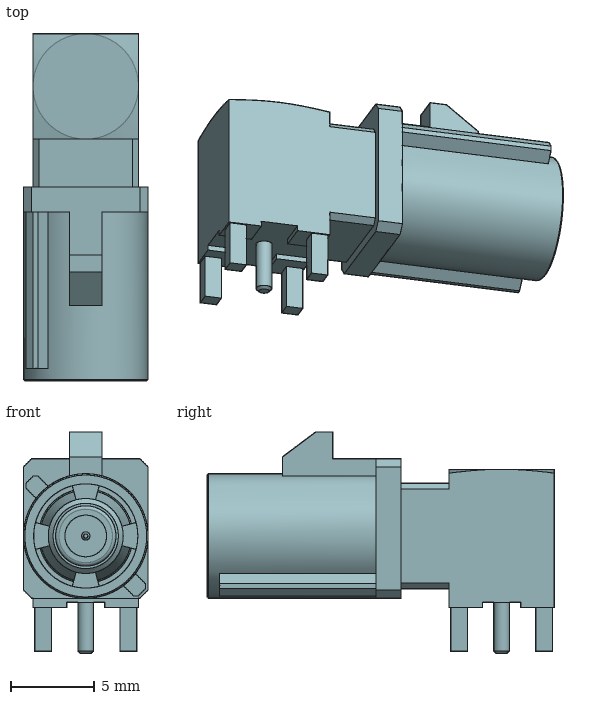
import cadquery as cq
import math


total_length = 20.88
block_size = 6.35
flange_front_y = 10.15
flange_back_y = 11.67
block_front_y = total_length - block_size
block_centre_y = total_length - block_size / 2

barrel_diameter = 7.5
barrel_radius = barrel_diameter / 2
barrel_chamfer = 0.08
bore_radius = 3.13
bore_depth = 7.52

flange_width = barrel_diameter
flange_top_z = 4.65
flange_chamfer = 0.5

neck_chamfer = 0.35

block_top_z = 4.0
block_bottom_z = -4.3
block_crown_angle = 10
notch_width = 2.28
notch_height = 0.31

leg_size = 1.02
leg_spacing = 5.12
leg_bottom_z = -6.93
pin_radius = 0.48
pin_bottom_z = -7.08
pin_chamfer = 0.17

latch_width = 1.96
latch_top_z = 6.26
latch_nose_z = 4.76
latch_back_y = 7.55
latch_crest_y = 6.54
latch_nose_y = 4.53

rib_width = 1.02
rib_reach = 4.78
rib_chamfer = 0.2
rib_front_y = 0.75
rib_angles = (45, 225)

post_front_y = 2.21
post_radius = 1.82
post_nose_fillet = 0.2
post_shoulder_radius = 1.96
post_root_radius = 2.25
socket_radius = 1.25
socket_depth = 4.18

recess_depth = 2.09
core_base_radius = 2.75
core_foot_chamfer = 0.08
tab_count = 4
tab_angle = 30

contact_radius = 0.25
contact_tip_radius = 0.13
contact_setback = 0.84


def box(x_range, y_range, z_range):
    """Axis-aligned box between the given limits."""
    size = [high - low for low, high in (x_range, y_range, z_range)]
    corner = (x_range[0], y_range[0], z_range[0])
    return cq.Workplane("XY").box(*size, centered=False).translate(corner)


def centred(width):
    """Limits of a span centred on zero."""
    return (-width / 2, width / 2)


def cylinder_along_y(radius, start_y, end_y):
    """Cylinder on the mating axis."""
    return cq.Workplane("XZ", origin=(0, start_y, 0)).circle(radius).extrude(start_y - end_y)


def revolve_about_y(outline):
    """Turn an outline of (radius, y) points around the mating axis."""
    return cq.Workplane("XY").polyline(outline).close().revolve(360, (0, 0, 0), (0, 1, 0))


def make_block():
    """Solder block with a shallow conical crown and a cross-shaped notch below."""
    half = block_size / 2
    corner_radius = half * math.sqrt(2)
    crown_drop = (corner_radius - half) * math.tan(math.radians(block_crown_angle))
    block = box(centred(block_size), (block_front_y, total_length), (block_bottom_z, block_top_z))
    crown_outline = [
        (0, block_bottom_z),
        (corner_radius, block_bottom_z),
        (corner_radius, block_top_z - crown_drop),
        (half, block_top_z),
        (0, block_top_z),
    ]
    crown = cq.Workplane("XZ").polyline(crown_outline).close().revolve(360, (0, 0, 0), (0, 1, 0))
    block = block.intersect(crown.translate((0, block_centre_y, 0)))
    notch_z = block_bottom_z + notch_height / 2
    for length, width in ((block_size, notch_width), (notch_width, block_size)):
        notch = cq.Workplane("XY").box(length, width, notch_height)
        block = block.cut(notch.translate((0, block_centre_y, notch_z)))
    return block


def make_legs():
    """Four square solder legs."""
    return (
        cq.Workplane("XY", origin=(0, block_centre_y, leg_bottom_z))
        .rarray(leg_spacing, leg_spacing, 2, 2)
        .rect(leg_size, leg_size)
        .extrude(block_bottom_z - leg_bottom_z)
    )


def make_signal_pin():
    """Round pin with a chamfered lower end."""
    return (
        cq.Workplane("XY", origin=(0, block_centre_y, pin_bottom_z))
        .circle(pin_radius)
        .extrude(block_bottom_z + notch_height - pin_bottom_z)
        .faces("<Z")
        .chamfer(pin_chamfer)
    )


def make_neck():
    """Square neck with chamfered long edges."""
    neck = box(centred(block_size), (flange_back_y, block_front_y), centred(block_size))
    return neck.edges("|Y").chamfer(neck_chamfer)


def make_flange():
    """Rectangular flange plate with chamfered corners."""
    flange = box(centred(flange_width), (flange_front_y, flange_back_y), (-barrel_radius, flange_top_z))
    return flange.edges("|Y").chamfer(flange_chamfer)


def make_barrel():
    """Round barrel, solid here, with a chamfered mating rim."""
    barrel = cylinder_along_y(barrel_radius, 0, flange_front_y)
    return barrel.faces("<Y").chamfer(barrel_chamfer)


def make_latch():
    """Strap along the barrel that ends in a ramped hook."""
    outline = [
        (flange_front_y, 0),
        (flange_front_y, flange_top_z),
        (latch_back_y, flange_top_z),
        (latch_back_y, latch_top_z),
        (latch_crest_y, latch_top_z),
        (latch_nose_y, latch_nose_z),
        (latch_nose_y, 0),
    ]
    return cq.Workplane("YZ").polyline(outline).close().extrude(latch_width / 2, both=True)


def make_rib(angle):
    """Keying rib that stands radially on the barrel, turned about Y from +Z towards -X."""
    rib = box(centred(rib_width), (rib_front_y, flange_front_y), (0, rib_reach))
    rib = rib.faces(">Z").edges("|Y").chamfer(rib_chamfer)
    return rib.rotate((0, 0, 0), (0, 1, 0), -angle)


def make_tabs():
    """Four wedge-shaped tabs that span the ring recess around the post."""
    tip_z = barrel_radius
    tip_x = tip_z * math.tan(math.radians(tab_angle / 2))
    wedge = (
        cq.Workplane("XZ", origin=(0, bore_depth, 0))
        .polyline([(0, 0), (tip_x, tip_z), (-tip_x, tip_z)])
        .close()
        .extrude(-recess_depth)
    )
    tabs = wedge
    for index in range(1, tab_count):
        tabs = tabs.union(wedge.rotate((0, 0, 0), (0, 1, 0), index * 360 / tab_count))
    return tabs


def make_post():
    """Stepped post in the bore, flaring towards the floor of the recess."""
    floor_y = bore_depth + recess_depth
    shoulder_y = bore_depth - (post_root_radius - post_shoulder_radius)
    nose = cylinder_along_y(post_radius, post_front_y, shoulder_y)
    nose = nose.faces("<Y").edges().fillet(post_nose_fillet)
    base = revolve_about_y([
        (0, shoulder_y),
        (post_shoulder_radius, shoulder_y),
        (post_root_radius, bore_depth),
        (core_base_radius, floor_y - core_foot_chamfer),
        (core_base_radius + core_foot_chamfer, floor_y),
        (0, floor_y),
    ])
    return nose.union(base)


def make_contact():
    """Centre contact with a tapered tip."""
    tip_y = post_front_y + contact_setback
    root_y = post_front_y + socket_depth
    taper = contact_radius - contact_tip_radius
    return revolve_about_y([
        (0, tip_y),
        (contact_tip_radius, tip_y),
        (contact_radius, tip_y + taper),
        (contact_radius, root_y),
        (0, root_y),
    ])


def make_interior():
    """Space removed from the barrel, around the post, tabs and contact."""
    cavity = cylinder_along_y(bore_radius, 0, bore_depth + recess_depth)
    socket = cylinder_along_y(socket_radius, post_front_y, post_front_y + socket_depth)
    return cavity.cut(make_tabs()).cut(make_post()).union(socket.cut(make_contact()))


result = make_block()
for piece in (make_neck(), make_flange(), make_barrel(), make_latch(), make_legs(), make_signal_pin()):
    result = result.union(piece)
for rib_angle in rib_angles:
    result = result.union(make_rib(rib_angle))
result = result.cut(make_interior())